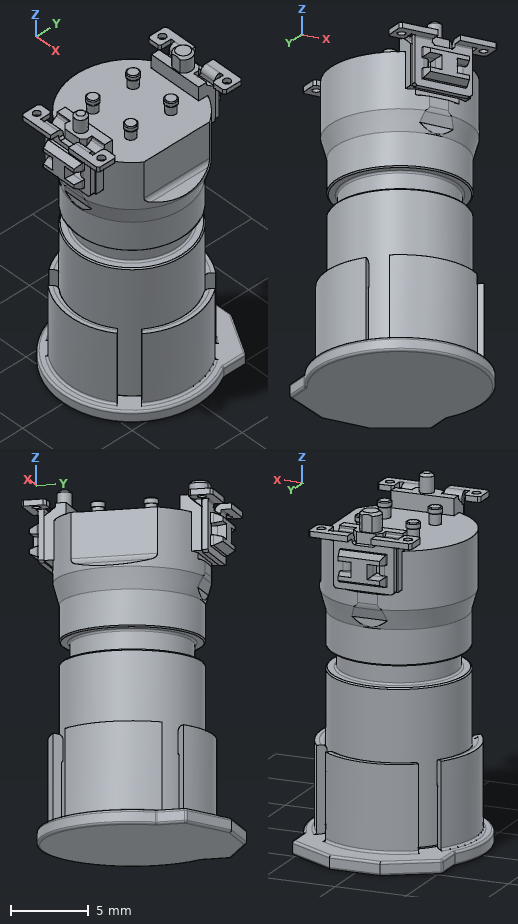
import cadquery as cq
import math

FLANGE_TOP = 0.97
CORE_RADIUS = 4.73
GROOVE_RADIUS = 4.04
GROOVE_BOTTOM = 11.92
GROOVE_TOP = 13.4
GROOVE_FILLET = 0.15
CORE_EDGE_CHAMFER = 0.1
CORE_FOOT_CHAMFER = 0.15
HEAD_RADIUS = 5.13
CONE_BOTTOM = 15.86
CONE_TOP = 17.3
HEAD_TOP = 21.28

KEY_FLAT_X = 4.23
KEY_FLAT_FOOT = 17.93
KEY_FLAT_SLOPE = 30.0
KEY_FLAT_FILLET = 0.48
CUT_MARGIN = 0.24
UPPER_FLAT_Y = 4.87
MIDDLE_FLAT_Y = 5.08
LOWER_FLAT_Y = 4.75
UPPER_FLAT_BOTTOM = 18.3
MIDDLE_FLAT_BOTTOM = 17.4
MIDDLE_FLAT_FILLET = 1.07
LOWER_FLAT_TOP = 16.5

CONTACT_SPACING = 3.56
CONTACT_RADIUS = 0.4
CONTACT_HEAD_RADIUS = 0.48
CONTACT_HEAD_CHAMFER = 0.07
TERMINAL_TOP = 22.45
SHEET = 0.4

BLOCK_HALF_WIDTH = 2.23
BLOCK_INNER_Y = 3.812
BLOCK_OUTER_Y = 5.3
BLOCK_BOTTOM = 18.7
BLOCK_SHELF_Y = 4.51
BLOCK_SHELF_Z = 22.2
BLOCK_SLOPE_FOOT = 21.61
BLOCK_SHELF_FILLET = 0.2
NOSE_HALF_WIDTH = 1.033
NOSE_CHAMFER = 0.35

POST_Y = 4.54
POST_TOP = 23.75
POST_CHAMFER = 0.2
FRONT_POST_RADIUS = 0.5
BACK_POST_RADIUS = 0.74
BACK_POST_HALF_DEPTH = 0.65

BRACKET_HALF_WIDTH = 2.14
BRACKET_BOTTOM = 18.6
BRACKET_OUTER_Y = 6.41
BEND_INNER_RADIUS = 0.07
BRACKET_SLOT_HALF_WIDTH = 0.83
BRACKET_SLOT_BOTTOM = 21.65
BRACKET_CORNER = 0.17
EAR_INNER_X = 2.45
EAR_OUTER_X = 3.63
EAR_INNER_Y = 4.77
EAR_HOLE_X = 3.05
EAR_HOLE_Y = 5.55
EAR_HOLE_RADIUS = 0.28

BUTTON_HALF_WIDTH = 1.62
BUTTON_BOTTOM = 19.12
BUTTON_HEIGHT = 2.18
BUTTON_MIDDLE_Z = BUTTON_BOTTOM + BUTTON_HEIGHT / 2
BUTTON_BASE_Y = 5.91
BUTTON_FACE_Y = 6.495
BUTTON_FACE_HALF_WIDTH = 1.45
BUTTON_FACE_HEIGHT = 1.65
NOTCH_HEIGHT = 0.78
NOTCH_FACE_HEIGHT = 1.02
NOTCH_INNER_X = 0.74
NOTCH_FACE_INNER_X = 0.57
WINDOW_HALF_WIDTH = 1.45
WINDOW_ROLL_RADIUS = 0.55

FLANGE_RADIUS = 6.15
FLANGE_EDGE = 0.17
LUG_HALF_WIDTH = 5.3
LUG_END_HALF_WIDTH = 1.78
LUG_END_Y = 7.16
LUG_CORNER = 0.2
LUG_ROOT_FILLET = 0.2
LUG_SLOPE = 30.0
FINGER_OUTER_RADIUS = 5.45
FINGER_CLEAR_RADIUS = 4.85
FINGER_TOP = 6.98
FINGER_GRIP_BOTTOM = 5.22
FINGER_LEAD_IN = 0.4
FINGER_FOOT_FILLET = 0.17
FINGER_SLOT_WIDTH = 1.57


def box_between(x0, x1, y0, y1, z0, z1):
    return cq.Workplane("XY").box(x1 - x0, y1 - y0, z1 - z0, centered=False).translate((x0, y0, z0))


def extrude_along_x(profile, half_length):
    """Extrude a closed (y, z) polygon both ways from the middle plane."""
    return cq.Workplane("YZ").polyline(profile).close().extrude(half_length, both=True)


def make_turned_core():
    shoulder = CORE_RADIUS - CORE_EDGE_CHAMFER
    groove_rim = GROOVE_RADIUS + GROOVE_FILLET
    return (
        cq.Workplane("XZ")
        .moveTo(0, FLANGE_TOP)
        .lineTo(CORE_RADIUS - CORE_FOOT_CHAMFER, FLANGE_TOP)
        .lineTo(CORE_RADIUS, FLANGE_TOP + CORE_FOOT_CHAMFER)
        .lineTo(CORE_RADIUS, GROOVE_BOTTOM - CORE_EDGE_CHAMFER)
        .lineTo(shoulder, GROOVE_BOTTOM)
        .lineTo(groove_rim, GROOVE_BOTTOM)
        .radiusArc((GROOVE_RADIUS, GROOVE_BOTTOM + GROOVE_FILLET), GROOVE_FILLET)
        .lineTo(GROOVE_RADIUS, GROOVE_TOP - GROOVE_FILLET)
        .radiusArc((groove_rim, GROOVE_TOP), GROOVE_FILLET)
        .lineTo(shoulder, GROOVE_TOP)
        .lineTo(CORE_RADIUS, GROOVE_TOP + CORE_EDGE_CHAMFER)
        .lineTo(CORE_RADIUS, CONE_BOTTOM)
        .lineTo(HEAD_RADIUS, CONE_TOP)
        .lineTo(HEAD_RADIUS, HEAD_TOP)
        .lineTo(0, HEAD_TOP)
        .close()
        .revolve(360, (0, 0, 0), (0, 1, 0))
    )


def make_key_flat_cutter():
    """Material removed beside the polarising flat and above its sloping foot."""
    outer_x = HEAD_RADIUS + CUT_MARGIN
    foot_drop = (outer_x - KEY_FLAT_X) * math.tan(math.radians(KEY_FLAT_SLOPE))
    return (
        cq.Workplane("XZ")
        .polyline([
            (KEY_FLAT_X, HEAD_TOP),
            (KEY_FLAT_X, KEY_FLAT_FOOT),
            (outer_x, KEY_FLAT_FOOT - foot_drop),
            (outer_x, HEAD_TOP),
        ])
        .close()
        .extrude(HEAD_RADIUS, both=True)
        .edges(cq.selectors.NearestToPointSelector((KEY_FLAT_X, 0, KEY_FLAT_FOOT)))
        .fillet(KEY_FLAT_FILLET)
    )


def make_head_envelope():
    """Stepped limits in Y that leave the flats on the front and back of the head."""
    half = [
        (LOWER_FLAT_Y, FLANGE_TOP),
        (LOWER_FLAT_Y, LOWER_FLAT_TOP),
        (MIDDLE_FLAT_Y, MIDDLE_FLAT_BOTTOM),
        (MIDDLE_FLAT_Y, UPPER_FLAT_BOTTOM),
        (UPPER_FLAT_Y, UPPER_FLAT_BOTTOM),
        (UPPER_FLAT_Y, HEAD_TOP),
    ]
    mirrored = [(-y, z) for y, z in reversed(half)]
    envelope = extrude_along_x(half + mirrored, HEAD_RADIUS)
    for y in (-MIDDLE_FLAT_Y, MIDDLE_FLAT_Y):
        crease = cq.selectors.NearestToPointSelector((0, y, MIDDLE_FLAT_BOTTOM))
        envelope = envelope.edges(crease).fillet(MIDDLE_FLAT_FILLET)
    return envelope


def make_contact(x, y):
    head_bottom = TERMINAL_TOP - SHEET
    shaft = cq.Workplane("XY").circle(CONTACT_RADIUS).extrude(head_bottom - HEAD_TOP)
    head = cq.Workplane("XY").circle(CONTACT_HEAD_RADIUS).extrude(SHEET)
    head = head.faces(">Z").chamfer(CONTACT_HEAD_CHAMFER)
    return shaft.translate((x, y, HEAD_TOP)).union(head.translate((x, y, head_bottom)))


def make_block():
    """Terminal block on the +Y side."""
    low_sides = extrude_along_x(
        [
            (BLOCK_INNER_Y, HEAD_TOP),
            (BLOCK_INNER_Y, TERMINAL_TOP),
            (BLOCK_SHELF_Y, TERMINAL_TOP),
            (BLOCK_SHELF_Y, BLOCK_SHELF_Z),
            (BLOCK_OUTER_Y, BLOCK_SLOPE_FOOT),
            (BLOCK_OUTER_Y, BLOCK_BOTTOM),
            (BLOCK_INNER_Y, BLOCK_BOTTOM),
        ],
        BLOCK_HALF_WIDTH,
    )
    shelf_corner = cq.selectors.NearestToPointSelector((0, BLOCK_SHELF_Y, BLOCK_SHELF_Z))
    low_sides = low_sides.edges(shelf_corner).fillet(BLOCK_SHELF_FILLET)
    nose = box_between(
        -NOSE_HALF_WIDTH, NOSE_HALF_WIDTH, BLOCK_INNER_Y, BLOCK_OUTER_Y, HEAD_TOP, TERMINAL_TOP
    )
    nose = nose.edges("|Z and >Y").chamfer(NOSE_CHAMFER)
    return low_sides.union(nose)


def make_post(radius):
    """Round guide post on the +Y side."""
    post = cq.Workplane("XY").circle(radius).extrude(POST_TOP - TERMINAL_TOP)
    post = post.faces(">Z").chamfer(POST_CHAMFER)
    return post.translate((0, POST_Y, TERMINAL_TOP))


def make_back_post():
    """Thicker post with a flat towards each Y direction."""
    between_flats = box_between(
        -BACK_POST_RADIUS, BACK_POST_RADIUS,
        POST_Y - BACK_POST_HALF_DEPTH, POST_Y + BACK_POST_HALF_DEPTH, TERMINAL_TOP, POST_TOP,
    )
    return make_post(BACK_POST_RADIUS).intersect(between_flats)


def make_bracket():
    """Sheet bracket on the +Y side: upright plate, outward bend and two eared tabs."""
    plate_outer_y = BLOCK_OUTER_Y + SHEET
    underside = TERMINAL_TOP - SHEET
    bend_outer_radius = BEND_INNER_RADIUS + SHEET
    bend_end_y = BLOCK_OUTER_Y + bend_outer_radius
    bend_start_z = TERMINAL_TOP - bend_outer_radius
    sheet = (
        cq.Workplane("YZ")
        .moveTo(BLOCK_OUTER_Y, BRACKET_BOTTOM)
        .lineTo(BLOCK_OUTER_Y, bend_start_z)
        .radiusArc((bend_end_y, TERMINAL_TOP), bend_outer_radius)
        .lineTo(BRACKET_OUTER_Y, TERMINAL_TOP)
        .lineTo(BRACKET_OUTER_Y, underside)
        .lineTo(bend_end_y, underside)
        .radiusArc((plate_outer_y, bend_start_z), -BEND_INNER_RADIUS)
        .lineTo(plate_outer_y, BRACKET_BOTTOM)
        .close()
        .extrude(BRACKET_HALF_WIDTH, both=True)
        .edges("|Y and <Z")
        .chamfer(BRACKET_CORNER)
    )
    for side in (-1, 1):
        ear = box_between(
            EAR_INNER_X, EAR_OUTER_X, EAR_INNER_Y, BRACKET_OUTER_Y, underside, TERMINAL_TOP
        )
        ear = ear.edges("|Z and (>X or <Y)").chamfer(BRACKET_CORNER)
        hole = cq.Workplane("XY").center(EAR_HOLE_X, EAR_HOLE_Y).circle(EAR_HOLE_RADIUS)
        ear = ear.cut(hole.extrude(TERMINAL_TOP))
        bridge = box_between(
            BRACKET_HALF_WIDTH, EAR_INNER_X, bend_end_y, BRACKET_OUTER_Y, underside, TERMINAL_TOP
        )
        tab = ear.union(bridge)
        sheet = sheet.union(tab if side > 0 else tab.mirror("YZ"))
    slot = box_between(
        -BRACKET_SLOT_HALF_WIDTH, BRACKET_SLOT_HALF_WIDTH,
        BLOCK_OUTER_Y, BRACKET_OUTER_Y, BRACKET_SLOT_BOTTOM, TERMINAL_TOP,
    )
    return sheet.cut(slot.edges("|Y and <Z").chamfer(BRACKET_CORNER))


def loft_outward(base, face):
    """Loft in +Y from the button's base plane to its face; each end is (x0, x1, height)."""
    sections = []
    for (x0, x1, height), y in ((base, BUTTON_BASE_Y), (face, BUTTON_FACE_Y)):
        z0 = BUTTON_MIDDLE_Z - height / 2
        z1 = BUTTON_MIDDLE_Z + height / 2
        corners = [cq.Vector(x, y, z) for x, z in ((x0, z0), (x1, z0), (x1, z1), (x0, z1))]
        sections.append(cq.Wire.makePolygon(corners, close=True))
    return cq.Workplane(cq.Solid.makeLoft(sections, True))


def make_button():
    """Retaining button on the +Y side, tapered towards its face."""
    plate_y = BLOCK_OUTER_Y + SHEET
    base = box_between(
        -BUTTON_HALF_WIDTH, BUTTON_HALF_WIDTH, plate_y, BUTTON_BASE_Y,
        BUTTON_BOTTOM, BUTTON_BOTTOM + BUTTON_HEIGHT,
    )
    taper = loft_outward(
        (-BUTTON_HALF_WIDTH, BUTTON_HALF_WIDTH, BUTTON_HEIGHT),
        (-BUTTON_FACE_HALF_WIDTH, BUTTON_FACE_HALF_WIDTH, BUTTON_FACE_HEIGHT),
    )
    return base.union(taper)


def make_notch():
    """Space at the +X end of the button, reaching through the sheet to the block."""
    flare = loft_outward(
        (NOTCH_INNER_X, BUTTON_HALF_WIDTH, NOTCH_HEIGHT),
        (NOTCH_FACE_INNER_X, BUTTON_HALF_WIDTH, NOTCH_FACE_HEIGHT),
    )
    plate_y = BLOCK_OUTER_Y + SHEET
    roll_depth = WINDOW_ROLL_RADIUS - SHEET
    roll_inner_x = WINDOW_HALF_WIDTH - math.sqrt(WINDOW_ROLL_RADIUS**2 - roll_depth**2)
    window = (
        cq.Workplane("XY", origin=(0, 0, BUTTON_MIDDLE_Z))
        .moveTo(NOTCH_INNER_X, BUTTON_BASE_Y)
        .lineTo(NOTCH_INNER_X, BLOCK_OUTER_Y)
        .lineTo(roll_inner_x, BLOCK_OUTER_Y)
        .radiusArc((WINDOW_HALF_WIDTH, plate_y), WINDOW_ROLL_RADIUS)
        .lineTo(BUTTON_HALF_WIDTH, plate_y)
        .lineTo(BUTTON_HALF_WIDTH, BUTTON_BASE_Y)
        .close()
        .extrude(NOTCH_HEIGHT / 2, both=True)
    )
    return window.union(flare)


def make_terminal():
    """Block, bracket and button on the +Y side."""
    notch = make_notch()
    terminal = make_block().union(make_bracket()).union(make_button())
    return terminal.cut(notch).cut(notch.mirror("YZ"))


def make_core():
    core = make_turned_core().cut(make_key_flat_cutter()).intersect(make_head_envelope())
    for x in (-CONTACT_SPACING / 2, CONTACT_SPACING / 2):
        for y in (-CONTACT_SPACING / 2, CONTACT_SPACING / 2):
            core = core.union(make_contact(x, y))
    terminal = make_terminal()
    back = terminal.union(make_back_post())
    front = terminal.union(make_post(FRONT_POST_RADIUS)).mirror("XZ")
    return core.union(back).union(front)


def make_flange():
    """Round flange with a lug towards +Y, its edges rounded above and below."""
    shoulder_drop = (LUG_HALF_WIDTH - LUG_END_HALF_WIDTH) * math.tan(math.radians(LUG_SLOPE))
    shoulder_y = LUG_END_Y - shoulder_drop
    lug = (
        cq.Workplane("XY")
        .polyline([
            (-LUG_HALF_WIDTH, 0),
            (-LUG_HALF_WIDTH, shoulder_y),
            (-LUG_END_HALF_WIDTH, LUG_END_Y),
            (LUG_END_HALF_WIDTH, LUG_END_Y),
            (LUG_HALF_WIDTH, shoulder_y),
            (LUG_HALF_WIDTH, 0),
        ])
        .close()
        .extrude(FLANGE_TOP)
    )
    for x in (-LUG_HALF_WIDTH, LUG_HALF_WIDTH):
        corner = cq.selectors.NearestToPointSelector((x, shoulder_y, FLANGE_TOP / 2))
        lug = lug.edges(corner).fillet(LUG_CORNER)
    flange = cq.Workplane("XY").circle(FLANGE_RADIUS).extrude(FLANGE_TOP).union(lug)
    root_y = math.sqrt(FLANGE_RADIUS**2 - LUG_HALF_WIDTH**2)
    for x in (-LUG_HALF_WIDTH, LUG_HALF_WIDTH):
        root = cq.selectors.NearestToPointSelector((x, root_y, FLANGE_TOP / 2))
        flange = flange.edges(root).fillet(LUG_ROOT_FILLET)
    return flange.faces("<Z or >Z").edges().fillet(FLANGE_EDGE)


def make_fingers():
    """Slotted sleeve whose fingers grip the core near their tops."""
    foot_radius = FINGER_OUTER_RADIUS + FINGER_FOOT_FILLET
    clearance = FINGER_CLEAR_RADIUS - CORE_RADIUS
    sleeve = (
        cq.Workplane("XZ")
        .moveTo(FINGER_CLEAR_RADIUS, FLANGE_TOP)
        .lineTo(foot_radius, FLANGE_TOP)
        .radiusArc((FINGER_OUTER_RADIUS, FLANGE_TOP + FINGER_FOOT_FILLET), FINGER_FOOT_FILLET)
        .lineTo(FINGER_OUTER_RADIUS, FINGER_TOP)
        .lineTo(CORE_RADIUS + FINGER_LEAD_IN, FINGER_TOP)
        .radiusArc((CORE_RADIUS, FINGER_TOP - FINGER_LEAD_IN), -FINGER_LEAD_IN)
        .lineTo(CORE_RADIUS, FINGER_GRIP_BOTTOM)
        .lineTo(FINGER_CLEAR_RADIUS, FINGER_GRIP_BOTTOM - clearance)
        .close()
        .revolve(360, (0, 0, 0), (0, 1, 0))
    )
    for angle in (45, 135):
        slot = (
            cq.Workplane("XY", origin=(0, 0, FLANGE_TOP))
            .rect(2 * FLANGE_RADIUS, FINGER_SLOT_WIDTH)
            .extrude(FINGER_TOP)
            .rotate((0, 0, 0), (0, 0, 1), angle)
        )
        sleeve = sleeve.cut(slot)
    return sleeve


core = make_core()
collar = make_flange().union(make_fingers())

result = cq.Compound.makeCompound([core.val(), collar.val()])